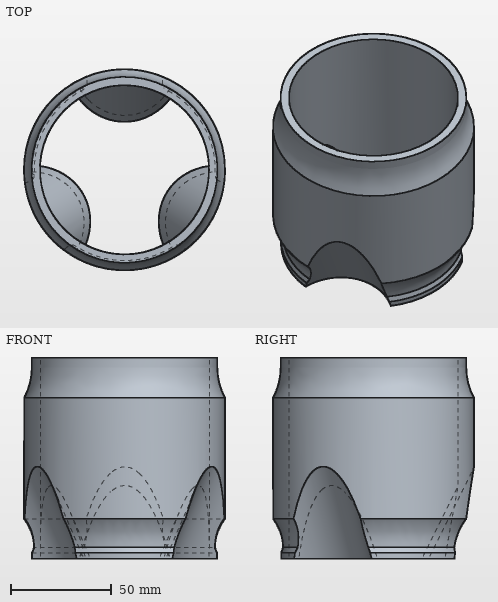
import cadquery as cq
import math

height = 100.0
body_radius = 50.0
collar_radius = 46.2
bore_radius = 42.0
collar_height = 5.0
shoulder_top = 80.0
shoulder_bottom = 20.0

rim_radius = 46.0
rim_height = 3.0
waist_radius = 45.0
waist_height = 5.7

scallop_angles = (90, 210, 330)
scallop_radius = 27.0
scallop_wall = 3.0
scallop_lean = 26.5
scallop_axis_offset = 57.3
cutter_length = 300.0


def flare_radius(radial_rise, axial_run):
    """Radius of an arc that starts parallel to the sleeve axis and spans the given rise and run."""
    return (radial_rise ** 2 + axial_run ** 2) / (2 * radial_rise)


def flare_midpoint(start, end):
    """Midpoint of a concave flare that leaves start parallel to the sleeve axis."""
    rise = end[0] - start[0]
    run = end[1] - start[1]
    radius = flare_radius(rise, abs(run))
    half_sweep = math.asin(abs(run) / radius) / 2
    mid_radius = start[0] + radius * (1 - math.cos(half_sweep))
    mid_height = start[1] + math.copysign(radius * math.sin(half_sweep), run)
    return (mid_radius, mid_height)


def outer_body():
    """Solid of revolution with the sleeve's outside shape."""
    waist = (waist_radius, waist_height)
    body_bottom = (body_radius, shoulder_bottom)
    body_top = (body_radius, shoulder_top)
    collar_bottom = (collar_radius, height - collar_height)
    return (
        cq.Workplane("XZ")
        .lineTo(rim_radius, 0)
        .lineTo(rim_radius, rim_height)
        .lineTo(*waist)
        .threePointArc(flare_midpoint(waist, body_bottom), body_bottom)
        .lineTo(*body_top)
        .threePointArc(flare_midpoint(collar_bottom, body_top), collar_bottom)
        .lineTo(collar_radius, height)
        .lineTo(0, height)
        .close()
        .revolve(360, (0, 0, 0), (0, 1, 0))
    )


def leaning_cylinder(radius, angle):
    """Cylinder leaning outward in the given direction around the sleeve axis."""
    return (
        cq.Workplane("XY")
        .circle(radius)
        .extrude(cutter_length / 2, both=True)
        .rotate((0, 0, 0), (0, 1, 0), scallop_lean)
        .translate((scallop_axis_offset, 0, 0))
        .rotate((0, 0, 0), (0, 0, 1), angle)
    )


bore = cq.Workplane("XY").circle(bore_radius).extrude(height)
for scallop_angle in scallop_angles:
    bore = bore.cut(leaning_cylinder(scallop_radius + scallop_wall, scallop_angle))

result = outer_body().cut(bore)
for scallop_angle in scallop_angles:
    result = result.cut(leaning_cylinder(scallop_radius, scallop_angle))